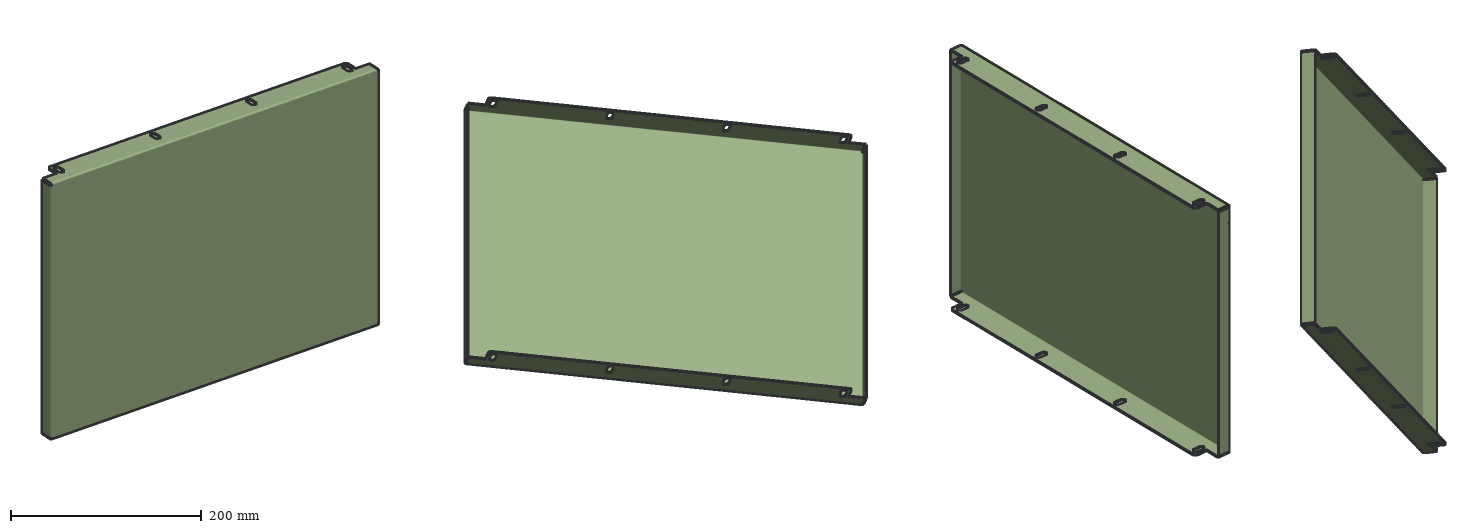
import cadquery as cq

depth = 32.0
length = 429.0
height = 306.0

sheet = 1.5
bend_radius = 2.0
inner_radius = bend_radius - sheet

wall_depth = 16.0
corner_gap = 1.7
tab_inset = 19.7
tab_corner_radius = 3.5

slot_length = 14.0
slot_width = 6.5
slot_edge_distance = 4.0
slot_count = 4
slot_pitch = 125.3

panel_x = depth / 2
rim_x = panel_x - wall_depth
tab_edge_x = -depth / 2


def flange(edge, free_x, width):
    """Flange along Y at the top: a quarter bend leading to a flat leg ending at free_x."""
    bend_x = panel_x - bend_radius
    bend_z = edge - bend_radius
    diagonal = 0.5 ** 0.5
    outer_mid = (bend_x + bend_radius * diagonal, bend_z + bend_radius * diagonal)
    inner_mid = (bend_x + inner_radius * diagonal, bend_z + inner_radius * diagonal)
    return (
        cq.Workplane("XZ")
        .moveTo(free_x, edge)
        .lineTo(bend_x, edge)
        .threePointArc(outer_mid, (panel_x, bend_z))
        .lineTo(panel_x - sheet, bend_z)
        .threePointArc(inner_mid, (bend_x, edge - sheet))
        .lineTo(free_x, edge - sheet)
        .close()
        .extrude(width / 2, both=True)
    )


def tab_flange():
    """Top flange with its projecting, slotted mounting tab."""
    tab_width = length - 2 * tab_inset
    tab_length = rim_x - tab_edge_x
    tab = (
        cq.Workplane("XY")
        .box(tab_length, tab_width, sheet)
        .edges("|Z and <X")
        .fillet(tab_corner_radius)
        .translate((tab_edge_x + tab_length / 2, 0, (height - sheet) / 2))
    )
    slot_x = tab_edge_x + slot_edge_distance + slot_length / 2
    slots = (
        cq.Workplane("XY", origin=(slot_x, 0, height / 2 - sheet))
        .rarray(4.5, slot_pitch, 1, slot_count)
        .slot2D(slot_length, slot_width)
        .extrude(sheet)
    )
    body = flange(height / 2, rim_x, length - 2 * corner_gap)
    return body.union(tab).cut(slots)


panel = cq.Workplane("XY").box(sheet, length - 2 * bend_radius, height - 2 * bend_radius)
panel = panel.translate((panel_x - sheet / 2, 0, 0))

top_flange = tab_flange()
bottom_flange = top_flange.mirror("XY")

side_wall = flange(length / 2, rim_x, height - 2 * bend_radius).rotate((0, 0, 0), (1, 0, 0), 90)
opposite_wall = side_wall.mirror("XZ")

result = panel.union(top_flange).union(bottom_flange).union(side_wall).union(opposite_wall)